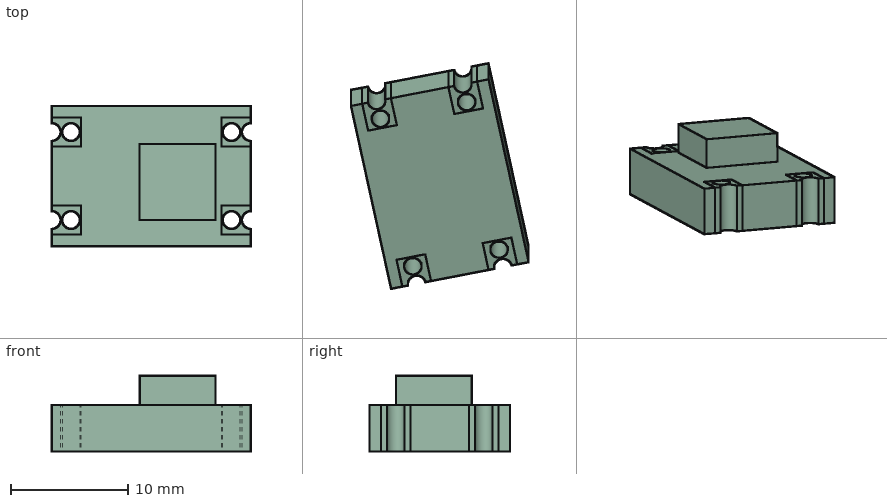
import cadquery as cq

board_length = 17.0
board_width = 12.0
board_height = 4.0

block_side = 6.5
block_height = 2.5
block_center_x = 2.25
block_center_y = -0.5

terminal_side = 2.5
terminal_offset_y = 3.75
hole_diameter = 1.5
hole_from_end = 1.65


def terminal_blank(x_side, y_side):
    """Square bar, full board height, flush with one end of the board."""
    center_x = x_side * (board_length - terminal_side) / 2
    return (
        cq.Workplane("XY")
        .center(center_x, y_side * terminal_offset_y)
        .rect(terminal_side, terminal_side)
        .extrude(board_height)
    )


def make_terminal(x_side, y_side):
    """Terminal with a through hole and a half-round notch in its outer face."""
    end_x = x_side * board_length / 2
    hole_x = end_x - x_side * hole_from_end
    center_y = y_side * terminal_offset_y
    cutters = (
        cq.Workplane("XY")
        .pushPoints([(end_x, center_y), (hole_x, center_y)])
        .circle(hole_diameter / 2)
        .extrude(board_height)
    )
    return terminal_blank(x_side, y_side).cut(cutters)


def make_board(corners):
    """Rectangular board with a full-height recess for each terminal."""
    board = cq.Workplane("XY").rect(board_length, board_width).extrude(board_height)
    for x_side, y_side in corners:
        board = board.cut(terminal_blank(x_side, y_side))
    return board


def make_block():
    """Square block resting on the top face of the board."""
    return (
        cq.Workplane("XY", origin=(block_center_x, block_center_y, board_height))
        .rect(block_side, block_side)
        .extrude(block_height)
    )


corners = [(x_side, y_side) for x_side in (-1, 1) for y_side in (-1, 1)]

board = make_board(corners)
block = make_block()
terminals = [make_terminal(x_side, y_side) for x_side, y_side in corners]

result = cq.Compound.makeCompound(
    [board.val(), block.val(), *[terminal.val() for terminal in terminals]]
)